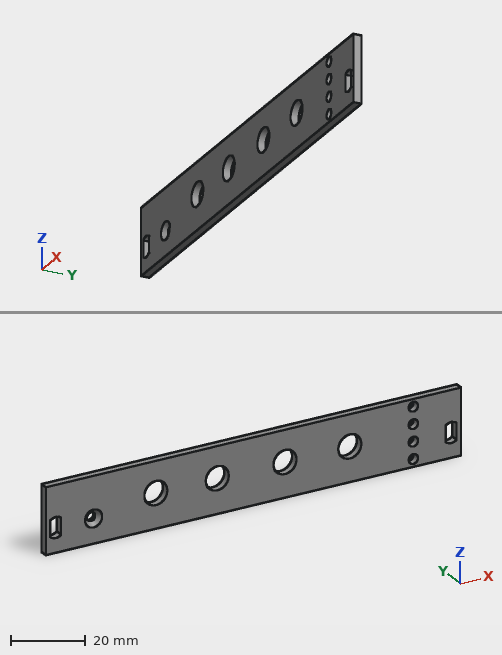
import cadquery as cq

length = 128.4
thickness = 2.5
height = 20.0
front_y = -thickness / 2

large_diameter = 7.0
large_z = 0.5
large_x_positions = (-30.2, -11.2, 9.8, 29.8)

small_diameter = 2.8
small_count = 4
small_pitch = 5.1
column_x = 49.4

low_row_z = -2.6
countersink_x = -column_x
countersink_diameter = 5.3
countersink_angle = 90
pilot_diameter = 2.6

slot_width = 3.3
slot_height = 6.2
slot_side_height = 4.9
slot_edge_distance = 3.1
slot_x = length / 2 - slot_edge_distance


def front_plane(x=0, z=0):
    """Workplane on the front face; local Y is Z and the normal is -Y."""
    return cq.Workplane("XZ", origin=(x, front_y, z))


def round_cutter(x, z, diameter):
    return front_plane(x, z).circle(diameter / 2).extrude(-thickness)


def slot_cutter(x, z):
    """Upright slot closed by an arc bulging beyond the sides at each end."""
    half_width = slot_width / 2
    half_side = slot_side_height / 2
    half_height = slot_height / 2
    return (
        front_plane(x, z)
        .moveTo(-half_width, -half_side)
        .threePointArc((0, -half_height), (half_width, -half_side))
        .lineTo(half_width, half_side)
        .threePointArc((0, half_height), (-half_width, half_side))
        .close()
        .extrude(-thickness)
    )


result = cq.Workplane("XY").box(length, thickness, height)

for x in large_x_positions:
    result = result.cut(round_cutter(x, large_z, large_diameter))

for index in range(small_count):
    z = (index - (small_count - 1) / 2) * small_pitch
    result = result.cut(round_cutter(column_x, z, small_diameter))

for x in (-slot_x, slot_x):
    result = result.cut(slot_cutter(x, low_row_z))

result = (
    result.copyWorkplane(front_plane(countersink_x, low_row_z))
    .cskHole(pilot_diameter, countersink_diameter, countersink_angle)
)